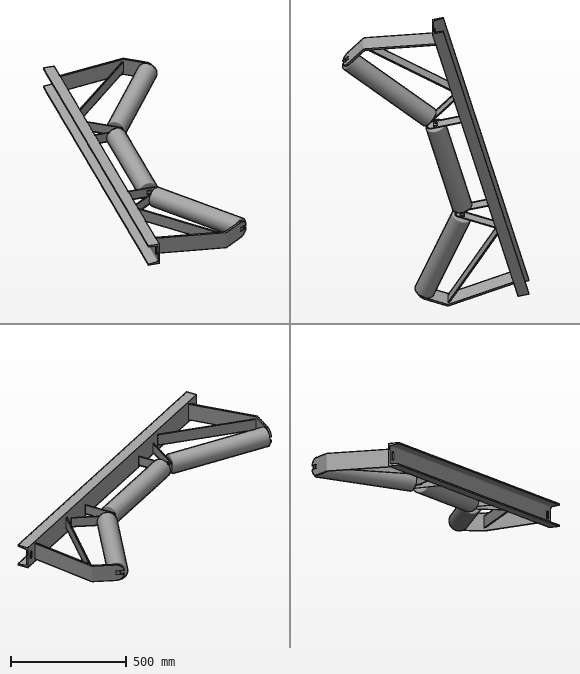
import cadquery as cq
import math


channel_length = 1500.0
channel_height = 100.0
flange_depth = 50.0
web_thickness = 6.0
flange_tip_thickness = 6.0
flange_root_thickness = 10.0
flange_root_radius = 8.0
slot_width = 18.0
slot_height = 36.0
slot_end_distance = 28.0

shell_diameter = 88.0
shell_length = 465.0
shell_rim_radius = 5.0
shaft_radius = 14.0
shaft_square = 18.0
center_y = 117.0
center_z = -20.0
wing_x = 470.0
wing_y = 264.0
trough_angle = math.radians(35.0)
forward_tilt = math.radians(2.4)
wing_z = center_z + shell_length / 2 * math.sin(forward_tilt)

outer_plate = 9.0
inner_plate = 5.0
brace_plate = 6.0
end_clearance = 3.0
outer_height = 78.0
inner_height = 45.0
outer_foot_x = 681.0
knee_y = 309.0
arm_tip_drop = 10.0
knee_radius = 8.0
vee_radius = 14.0
brace_height = 52.0
brace_foot_x = 405.0

outer_offset = shell_length / 2 + end_clearance + outer_plate / 2
inner_offset = shell_length / 2 + end_clearance + inner_plate / 2
seat_reach = shell_length / 2 + end_clearance + 2 * outer_plate



def wing_plane(side):
    """Plane at the middle of a wing roller: normal along its axis toward the inner end, x across it."""
    normal = (
        -side * math.cos(trough_angle) * math.cos(forward_tilt),
        -math.sin(trough_angle) * math.cos(forward_tilt),
        -math.sin(forward_tilt),
    )
    across = (-side * math.sin(trough_angle), math.cos(trough_angle), 0)
    return cq.Plane(origin=(side * wing_x, wing_y, wing_z), xDir=across, normal=normal)


center_plane = cq.Plane(origin=(0, center_y, center_z), xDir=(0, 0, 1), normal=(1, 0, 0))
wing_planes = [wing_plane(-1), wing_plane(1)]
roller_planes = [center_plane, *wing_planes]



def make_channel():
    """Channel with tapered flanges facing -Y and an upright slot through the web near each end."""
    half = channel_height / 2
    tip = half - flange_tip_thickness
    root = half - flange_root_thickness
    outline = [
        (0, -half),
        (-flange_depth, -half),
        (-flange_depth, -tip),
        (-web_thickness, -root),
        (-web_thickness, root),
        (-flange_depth, tip),
        (-flange_depth, half),
        (0, half),
    ]
    channel = cq.Workplane("YZ").polyline(outline).close().extrude(channel_length / 2, both=True)
    for z in (-root, root):
        root_edge = cq.selectors.NearestToPointSelector((0, -web_thickness, z))
        channel = channel.edges("|X").edges(root_edge).fillet(flange_root_radius)
    slot_x = channel_length / 2 - slot_end_distance
    slots = (
        cq.Workplane("XZ")
        .pushPoints([(-slot_x, 0), (slot_x, 0)])
        .slot2D(slot_height, slot_width, 90)
        .extrude(web_thickness)
    )
    return channel.cut(slots)


def make_bent_bar(path, thickness, height, bend_radius):
    """Upright flat bar along an XY centre line, with rounded ends and its corner bent to a radius."""
    line = cq.Wire.makePolygon([cq.Vector(*point) for point in path])
    line = line.fillet2D(bend_radius, line.Vertices()[1:-1])
    outline = line.offset2D(thickness / 2)[0]
    bar = cq.Solid.extrudeLinear(outline, [], cq.Vector(0, 0, height))
    return cq.Workplane(bar).translate((0, 0, -height / 2))


def plate_line_x(offset, y):
    """X at a given Y on the line square to the -X wing axis, at an offset along it from the middle."""
    return -wing_x + (offset + (y - wing_y) * math.sin(trough_angle)) / math.cos(trough_angle)


def make_outer_bracket():
    """Leg and inclined arm for the outer shaft end, with a round arm tip and a brace to the channel."""
    knee = (plate_line_x(-outer_offset, knee_y), knee_y)
    tip_y = wing_y + outer_offset * math.sin(trough_angle) - arm_tip_drop * math.cos(trough_angle)
    arm_tip = (plate_line_x(-outer_offset, tip_y), tip_y)
    bracket = make_bent_bar([(-outer_foot_x, 0), knee, arm_tip], outer_plate, outer_height, knee_radius)
    tip_plane = cq.Plane(
        origin=(*arm_tip, 0),
        normal=(math.cos(trough_angle), -math.sin(trough_angle), 0),
    )
    tip = cq.Workplane(tip_plane).circle(outer_height / 2).extrude(outer_plate / 2, both=True)
    brace_run = brace_foot_x + knee[0]
    brace = (
        cq.Workplane("XY")
        .center((knee[0] - brace_foot_x) / 2, knee_y / 2)
        .transformed(rotate=(0, 0, math.degrees(math.atan2(knee_y, brace_run))))
        .slot2D(math.hypot(brace_run, knee_y) + brace_plate, brace_plate)
        .extrude(brace_height / 2, both=True)
    )
    return bracket.union(tip).union(brace)


def make_inner_bracket():
    """Bent vee plate holding the inner end of a wing shaft and one end of the centre shaft."""
    wing_foot = (plate_line_x(inner_offset, 0), 0)
    center_foot = (-inner_offset, 0)
    wing_run = (wing_x - inner_offset) * math.cos(trough_angle) - inner_offset
    apex_y = wing_y + wing_run / math.sin(trough_angle)
    path = [wing_foot, (-inner_offset, apex_y), center_foot]
    vee = make_bent_bar(path, inner_plate, inner_height, vee_radius)
    return vee.translate((0, 0, center_z))


def make_frame():
    """Channel with both pairs of brackets, cut for the shaft seats and the open slots above the outer ones."""
    channel_space = cq.Workplane("XZ").rect(channel_length, channel_height).extrude(flange_depth)
    brackets = make_outer_bracket().union(make_inner_bracket()).cut(channel_space)
    frame = make_channel().union(brackets).union(brackets.mirror("YZ"))
    for plane in roller_planes:
        shaft_seats = cq.Workplane(plane).rect(shaft_square, shaft_square)
        frame = frame.cut(shaft_seats.extrude(seat_reach, both=True))
    for plane in wing_planes:
        slot = (
            cq.Workplane(plane)
            .workplane(offset=-seat_reach)
            .center(outer_height / 2, 0)
            .rect(outer_height, shaft_square)
            .extrude(seat_reach - shell_length / 2)
        )
        frame = frame.cut(slot)
    return frame



def roller_bar(plane, radius):
    """Cylinder along a roller axis, as long as the shell."""
    return cq.Workplane(plane).workplane(offset=-shell_length / 2).circle(radius).extrude(shell_length)


def make_shell(plane):
    """Roller shell with rounded rims, bored for its shaft."""
    shell = roller_bar(plane, shell_diameter / 2).edges("%CIRCLE").fillet(shell_rim_radius)
    return shell.cut(roller_bar(plane, shaft_radius))


def make_shaft(plane, first_plate):
    """Round shaft whose squared ends sit in its seats, through first_plate and an inner plate."""
    first_reach = shell_length / 2 + end_clearance + first_plate
    last_reach = shell_length / 2 + end_clearance + inner_plate
    square_bar = (
        cq.Workplane(plane)
        .workplane(offset=-first_reach)
        .rect(shaft_square, shaft_square)
        .extrude(first_reach + last_reach)
    )
    return roller_bar(plane, shaft_radius).union(square_bar)


frame = make_frame()
shells = [make_shell(plane) for plane in roller_planes]
first_plates = [inner_plate, outer_plate, outer_plate]
shafts = [make_shaft(plane, thickness) for plane, thickness in zip(roller_planes, first_plates)]

result = cq.Compound.makeCompound([body.val() for body in [frame, *shells, *shafts]])